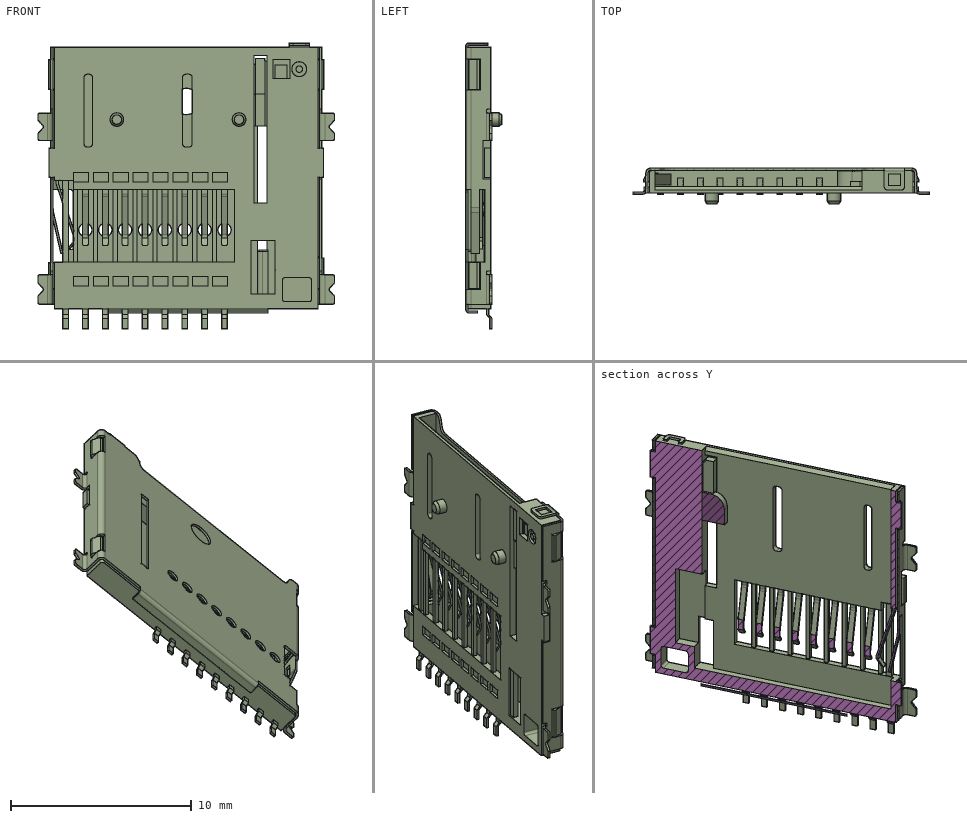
import cadquery as cq


SHEET = 0.13
SHELL_HALF_WIDTH = 7.51
SHELL_BACK = 1.4
SHELL_BOTTOM = 0.25
BEND_RADIUS = 0.3
HOUSING_HALF_WIDTH = 7.32
HOUSING_TOP = 14.5
HOUSING_BACK = SHELL_BACK - SHEET
SHELL_INNER = SHELL_HALF_WIDTH - SHEET

CAVITY_LEFT = -6.99
CAVITY_RIGHT = 4.47
CAVITY_BOTTOM = 0.8
FLOOR = 0.38
ENTRY_LIP = 0.18

PITCH = 1.1
CONTACT_COUNT = 8
FIRST_CONTACT_X = -5.59
CONTACT_WIDTH = 0.33
DETECT_X = FIRST_CONTACT_X - PITCH

WINDOW_TOP = 6.61
WINDOW_BOTTOM = 2.58
WINDOW_LEFT = -6.25
WINDOW_RIGHT = 2.68

UPPER_LATCH = (12.17, 13.81)
LEFT_LOWER_LATCH = (1.12, 2.56)
RIGHT_LOWER_LATCH = (1.12, 2.83)
LUG_CLEARANCE = 0.05
LUG_BOTTOM_Y = 0.62
SIDE_LUG = (7.28, 8.91)
SIDE_LUG_DEPTH = 0.35

SHELL_SLOT_LEFT = 3.96
CONTACT_CENTRES = [FIRST_CONTACT_X + i * PITCH for i in range(CONTACT_COUNT)]


def block(x_range, y_range, z_range):
    """Box between three (low, high) ranges."""
    size = [high - low for low, high in (x_range, y_range, z_range)]
    corner = cq.Vector(x_range[0], y_range[0], z_range[0])
    return cq.Workplane("XY").add(cq.Solid.makeBox(*size, corner))


def front_plane(y):
    """Sketch plane at depth y whose extrusions go towards +Y; its local y axis points down (-Z)."""
    return cq.Workplane(cq.Plane(origin=(0, y, 0), xDir=(1, 0, 0), normal=(0, 1, 0)))


def post(x, z, radius, y_range):
    """Round post along Y."""
    depth = y_range[1] - y_range[0]
    return front_plane(y_range[0]).center(x, -z).circle(radius).extrude(depth)


def prism_along_x(points_yz, x_range):
    """Closed (y, z) outline extruded along X."""
    sketch = cq.Workplane("YZ", origin=(x_range[0], 0, 0)).polyline(points_yz).close()
    return sketch.extrude(x_range[1] - x_range[0])


def strip(path, thickness):
    """Closed outline of bent sheet: the path and its copy shifted along the first coordinate."""
    return path + [(a + thickness, b) for a, b in reversed(path)]


def mirrored(shape):
    return shape.mirror("YZ")


def housing_body():
    width = (-HOUSING_HALF_WIDTH, HOUSING_HALF_WIDTH)
    body = block(width, (0, HOUSING_BACK), (0, HOUSING_TOP))
    body = body.edges("|Z and >Y").fillet(BEND_RADIUS - SHEET)
    cavity = block((CAVITY_LEFT, CAVITY_RIGHT), (FLOOR, HOUSING_BACK), (CAVITY_BOTTOM, HOUSING_TOP))
    lead_in = FLOOR - ENTRY_LIP
    entry_bevel = prism_along_x(
        [(ENTRY_LIP, HOUSING_TOP), (FLOOR, HOUSING_TOP), (FLOOR, HOUSING_TOP - lead_in)],
        (CAVITY_LEFT, CAVITY_RIGHT),
    )
    return body.cut(cavity).cut(entry_bevel)


def contact_window():
    """Opening in the floor under the contacts, with a bay for the detect switch at the left."""
    opening = block((WINDOW_LEFT, WINDOW_RIGHT), (0, FLOOR), (WINDOW_BOTTOM, WINDOW_TOP))
    bay_top = 7.12
    bay = block((-HOUSING_HALF_WIDTH, WINDOW_LEFT), (0, HOUSING_BACK), (WINDOW_BOTTOM, bay_top))
    rib_width = 0.23
    rib_depth = (0.05, 0.26)
    for x in CONTACT_CENTRES:
        centre = x - PITCH / 2
        rib_range = (centre - rib_width / 2, centre + rib_width / 2)
        opening = opening.cut(block(rib_range, rib_depth, (WINDOW_BOTTOM, WINDOW_TOP)))
    return opening.union(bay)


def contact_pockets():
    """Two rows of shallow rectangular pockets above and below the contact window."""
    width = 0.84
    height = 0.53
    depth = 0.16
    shift = -0.25
    pockets = cq.Workplane("XY")
    row_bottoms = (7.02, 1.25)
    for bottom in row_bottoms:
        for x in CONTACT_CENTRES:
            left = x + shift - width / 2
            pockets.add(block((left, left + width), (0, depth), (bottom, bottom + height)))
    return pockets.combine()


def floor_slots():
    """Two rounded slots through the floor and the long slot in which the slider runs."""
    top = 13.0
    bottom = 8.96
    corner = 0.2
    slider_slot = block((3.76, CAVITY_RIGHT), (0, FLOOR), (5.87, 14.04))
    cut = slider_slot
    for left, right in ((-5.67, -5.2), (-0.21, 0.33)):
        cut = cut.union(block((left, right), (0, FLOOR), (bottom, top)).edges("|Y").fillet(corner))
    return cut


def spring_window():
    """Stepped window near the lower right with a chamber reaching sideways from it."""
    left = 3.6
    right = 4.93
    z_range = (CAVITY_BOTTOM, 3.78)
    ledge_depth = 0.1
    window = block((SHELL_SLOT_LEFT, right), (0, HOUSING_BACK), z_range)
    ledge = block((left, SHELL_SLOT_LEFT), (0, ledge_depth), z_range)
    chamber = block((CAVITY_RIGHT, 6.08), (0.23, HOUSING_BACK), (2.14, 6.74))
    return window.union(ledge).union(chamber)


def spring_post():
    """Upright guide inside the spring window, rounded along its front left edge."""
    front = 0.82
    rounding = 0.26
    guide = block((SHELL_SLOT_LEFT, 4.54), (front, HOUSING_BACK), (0, 3.27))
    guide = guide.faces("<Y").edges("<X").fillet(rounding)
    return guide.faces(">Z").edges("<Y").chamfer(0.1)


def moulding_recesses():
    """Corner pocket, latch recess and ring-shaped recess in the mounting face."""
    corner_pocket = block((5.33, 6.95), (0, HOUSING_BACK), (0.4, 1.73)).edges("|Y").fillet(0.15)
    recess_depth = 0.2
    recess = block((4.8, 5.74), (0, recess_depth), (12.75, 13.81))
    inner = block((4.92, 5.59), (recess_depth, recess_depth + 0.08), (12.75, 13.51))
    ring_depth = 0.16
    ring_centre = (6.26, 13.28)
    ring = post(*ring_centre, 0.41, (0, ring_depth)).cut(post(*ring_centre, 0.18, (0, ring_depth)))
    return corner_pocket.union(recess).union(inner).union(ring)


def locating_posts():
    length = 0.61
    radius = 0.38
    height = 10.49
    posts = cq.Workplane("XY")
    for x in (-3.85, 2.93):
        posts.add(post(x, height, radius, (-length, 0)).faces("<Y").chamfer(0.16, 0.12))
    return posts.combine()


def snap_lug(z_range):
    """Wedge on the right side wall that snaps into a shell window."""
    peak = 7.63
    root = HOUSING_HALF_WIDTH - 0.16
    slope_start = (7.4, 1.22)
    outline = [(root, LUG_BOTTOM_Y), (peak, LUG_BOTTOM_Y), (peak, 0.75), slope_start, (root, slope_start[1])]
    base = cq.Workplane("XY", origin=(0, 0, z_range[0]))
    return base.polyline(outline).close().extrude(z_range[1] - z_range[0])


def side_lugs():
    square = block((HOUSING_HALF_WIDTH, 7.61), (0, SIDE_LUG_DEPTH), SIDE_LUG)
    right = square.union(snap_lug(UPPER_LATCH)).union(snap_lug(RIGHT_LOWER_LATCH))
    left = square.union(snap_lug(UPPER_LATCH)).union(snap_lug(LEFT_LOWER_LATCH))
    return right.union(mirrored(left))


def contact_beam(x):
    """Spring beam rising from the floor towards the card, with a turned-down tip."""
    path = [(0.15, 6.77), (0.15, 6.36), (0.18, 6.23), (0.7, 4.11), (0.7, 3.91), (0.45, 3.5)]
    beam = prism_along_x(strip(path, SHEET), (x - CONTACT_WIDTH / 2, x + CONTACT_WIDTH / 2))
    return beam.edges("|Y and <Z").fillet(0.1)


def terminal(x):
    """Solder tail with a step down to the board."""
    path = [(0.12, 0.16), (0.12, -0.33), (-0.07, -0.53), (-0.07, -1.12)]
    return prism_along_x(strip(path, SHEET), (x - CONTACT_WIDTH / 2, x + CONTACT_WIDTH / 2))


def detect_switch():
    """Flat bar across the bay and the slanted blade with a hooked tip behind it."""
    bar_depth = (0.07, 0.33)
    bar = block((DETECT_X - 0.16, DETECT_X + 0.16), bar_depth, (WINDOW_BOTTOM - 0.16, 7.28))
    path = [(-7.22, 7.56), (-7.22, 6.94), (-6.23, 3.95), (-6.23, 3.75), (-6.58, 3.32)]
    blade_depth = (0.46, 1.07)
    outline = [(x, -z) for x, z in strip(path, SHEET)]
    blade = front_plane(blade_depth[0]).polyline(outline).close().extrude(blade_depth[1] - blade_depth[0])
    return bar.union(blade)


def make_housing():
    body = housing_body()
    for cutter in (contact_window(), contact_pockets(), floor_slots(), spring_window(), moulding_recesses()):
        body = body.cut(cutter)
    body = body.union(spring_post()).union(locating_posts()).union(side_lugs()).union(detect_switch())
    for x in CONTACT_CENTRES:
        body = body.union(contact_beam(x))
    for x in [DETECT_X] + CONTACT_CENTRES:
        body = body.union(terminal(x))
    return body


def shell_channel():
    """U-shaped channel: back plate and two side walls."""
    z_range = (SHELL_BOTTOM, HOUSING_TOP)
    outer = block((-SHELL_HALF_WIDTH, SHELL_HALF_WIDTH), (0, SHELL_BACK), z_range)
    outer = outer.edges("|Z and >Y").fillet(BEND_RADIUS)
    inner = block((-SHELL_INNER, SHELL_INNER), (0, HOUSING_BACK), z_range)
    inner = inner.edges("|Z and >Y").fillet(BEND_RADIUS - SHEET)
    return outer.cut(inner)


def entry_cutout():
    """Lowered upper edge of the back plate, with S-shaped ends, that uncovers the card."""
    edge = 13.56
    outline = (
        front_plane(HOUSING_BACK)
        .moveTo(-6.99, -HOUSING_TOP)
        .spline([(-6.16, -edge)], tangents=[(1, 0), (1, 0)], includeCurrent=True)
        .lineTo(4.2, -edge)
        .spline([(5.1, -HOUSING_TOP)], tangents=[(1, 0), (1, 0)], includeCurrent=True)
        .close()
    )
    return outline.extrude(SHEET)


def back_openings():
    """Contact inspection holes, viewing hole and slider slot in the back plate."""
    plate = (HOUSING_BACK, SHELL_BACK)
    openings = block((SHELL_SLOT_LEFT, CAVITY_RIGHT), plate, (2.96, 10.69))
    viewing_hole = post(0, 11.49, 0.72, plate)
    openings = openings.union(viewing_hole)
    inspection_z = 4.37
    inspection_radius = 0.36
    for x in CONTACT_CENTRES:
        openings = openings.union(post(x, inspection_z, inspection_radius, plate))
    return openings


def latch_window(z_range):
    """Window on the right wall that runs through the bend into the back plate."""
    height = (z_range[0] - LUG_CLEARANCE, z_range[1] + LUG_CLEARANCE)
    y_range = (LUG_BOTTOM_Y - LUG_CLEARANCE, SHELL_BACK)
    return block((SHELL_HALF_WIDTH - BEND_RADIUS, SHELL_HALF_WIDTH), y_range, height)


def side_notch():
    """Clearance for the square housing lug on the right wall."""
    return block((SHELL_INNER, SHELL_HALF_WIDTH), (0, 0.43), (7.18, 9.32))


def leaf_opening():
    """Opening in the left wall and back plate around the leaf spring."""
    right = WINDOW_LEFT - 0.03
    z_range = (WINDOW_BOTTOM, WINDOW_TOP)
    wall = block((-SHELL_HALF_WIDTH, -SHELL_INNER), (SIDE_LUG_DEPTH, SHELL_BACK), z_range)
    plate = block((-SHELL_HALF_WIDTH, right), (SHELL_BACK - BEND_RADIUS, SHELL_BACK), z_range)
    plate = plate.edges("|Y and >X and >Z").fillet(0.16)
    kept_corner = block((DETECT_X, right), (HOUSING_BACK, SHELL_BACK), (WINDOW_BOTTOM, 3.29))
    return wall.union(plate.cut(kept_corner))


def leaf_spring():
    """Cantilever of the left wall, bent inwards to press on the card edge."""
    outside = -SHELL_HALF_WIDTH
    path = [(outside, WINDOW_TOP), (outside, 5.6), (outside + 0.03, 5.35), (-6.95, 3.05)]
    y_range = (LUG_BOTTOM_Y, SHELL_BACK - BEND_RADIUS)
    outline = [(x, -z) for x, z in strip(path, SHEET)]
    return front_plane(y_range[0]).polyline(outline).close().extrude(y_range[1] - y_range[0])


def solder_foot(z_range):
    """Foot bent outwards from the right wall, with a V-notched tip."""
    tip = 8.22
    bottom = -0.07
    top = bottom + SHEET
    inner_radius = 0.18
    notch_depth = 0.33
    notch_half = 0.36
    middle = (z_range[0] + z_range[1]) / 2
    plate = block((SHELL_INNER, tip), (bottom, top), z_range).edges("|Y and >X").fillet(0.1)
    notch = [(tip, notch_half - middle), (tip - notch_depth, -middle), (tip, -notch_half - middle)]
    notch = front_plane(bottom).polyline(notch).close().extrude(SHEET).edges("|Y and <X").fillet(0.1)
    wall = block((SHELL_INNER, SHELL_HALF_WIDTH), (bottom, 2 * inner_radius), z_range)
    foot = plate.cut(notch).union(wall)
    inside_corner = cq.selectors.NearestToPointSelector((SHELL_HALF_WIDTH, top, middle))
    foot = foot.edges(inside_corner).fillet(inner_radius)
    return foot.edges("|Z and <X and <Y").fillet(inner_radius + SHEET)


def foot_seat(z_range):
    """Lower edge of the right wall that is replaced by the bend of a foot."""
    return block((SHELL_INNER, SHELL_HALF_WIDTH), (0, 0.16), z_range)


def foot_relief(z_low):
    """Slot in the wall above a foot that frees its bend."""
    height = 0.21
    depth = 0.25
    slot = block((SHELL_INNER, SHELL_HALF_WIDTH), (0, depth), (z_low, z_low + height))
    return slot.edges("|X and >Y").fillet(0.08)


def push_guard():
    """Tab bent over the top of the housing, with a square hole."""
    left = 5.7
    right = 6.84
    top = 14.73
    front = 0.16
    root = HOUSING_TOP - BEND_RADIUS
    outer = block((left, right), (front, SHELL_BACK), (root, top)).edges("|X and >Y and >Z").fillet(0.16)
    tab = outer.cut(block((left, right), (front, HOUSING_BACK), (root, top - SHEET)))
    tab = tab.edges("|Z and <Y").fillet(0.2)
    square_hole = block((5.93, 6.61), (0.41, 1.07), (root, top))
    return tab.cut(square_hole)


def lower_tab():
    """Wide tab bent under the lower end of the housing."""
    x_range = (-4.34, 4.54)
    bottom = -0.25
    front = 0.74
    root = SHELL_BOTTOM
    outer = block(x_range, (front, SHELL_BACK), (bottom, root)).edges("|X and >Y and <Z").fillet(0.23)
    return outer.cut(block(x_range, (front, HOUSING_BACK), (bottom + SHEET, root)))


def make_shell():
    shell = shell_channel().cut(entry_cutout()).cut(back_openings()).cut(leaf_opening())
    shell = shell.cut(latch_window(RIGHT_LOWER_LATCH)).cut(mirrored(latch_window(LEFT_LOWER_LATCH)))
    feet = ((SHELL_BOTTOM, 1.89), (9.32, 10.85))
    for cutter in [latch_window(UPPER_LATCH), side_notch()] + [foot_relief(high) for _, high in feet]:
        shell = shell.cut(cutter).cut(mirrored(cutter))
    for z_range in feet:
        foot = solder_foot(z_range)
        seat = foot_seat(z_range)
        shell = shell.cut(seat).cut(mirrored(seat))
        shell = shell.union(foot).union(mirrored(foot))
    return shell.union(leaf_spring()).union(push_guard()).union(lower_tab())


def make_slider():
    """Eject slider: a rail in the floor slot, a narrow upper arm and a rounded hook for the card."""
    bottom = 10.13
    shoulder = 11.9
    rail_width = (3.83, 4.35)
    arm_back = 0.64
    upper_rail = block(rail_width, (ENTRY_LIP, arm_back), (shoulder, 13.88))
    lower_rail = block(rail_width, (ENTRY_LIP + 0.03, arm_back), (bottom, shoulder))
    body_left = 3.93
    arm = block((body_left, CAVITY_RIGHT), (ENTRY_LIP + 0.07, arm_back), (bottom, 13.75))
    hook_left = 3.1
    hook_back = 1.22
    hook = block((hook_left, CAVITY_RIGHT), (FLOOR, hook_back), (bottom, shoulder))
    hook = hook.edges("|Y and <X and >Z").fillet(body_left - hook_left)
    return upper_rail.union(lower_rail).union(arm).union(hook)


housing = make_housing()
shell = make_shell()
slider = make_slider()
result = cq.Compound.makeCompound([housing.val(), shell.val(), slider.val()])